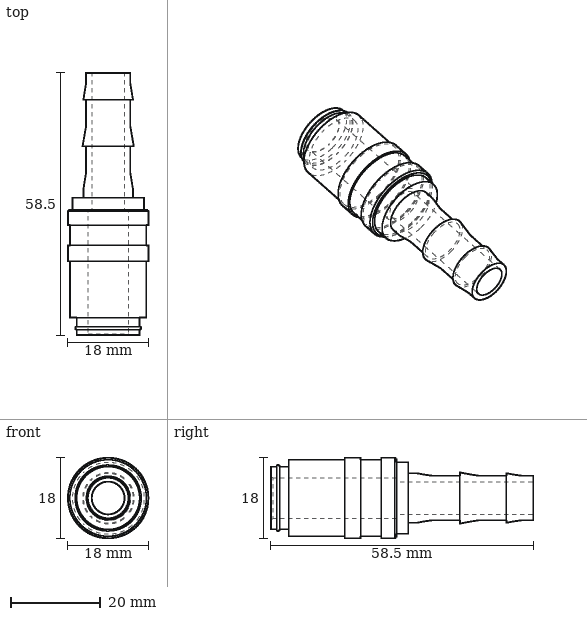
import cadquery as cq

length = 58.5

tail_radius = 5.0
barb_radius = 5.55
middle_barb_radius = 5.75
end_barb_length = 3.55
middle_barb_length = 4.4
neck_start = 30.65
neck_length = 1.9
middle_barb_start = 42.1
outer_barb_start = 52.5

collar_radius = 8.0
body_radius = 8.55
body_start = 3.9
shoulder_y = 28.0
band_radius = 9.0
front_band_start = 16.45
front_band_length = 3.55
rear_band_start = 24.55
rear_band_chamfer = 0.4

nose_radius = 7.0
bead_center_y = 1.6
bead_height = 0.35
bead_half_width = 0.35

bore_radius = 3.6
socket_radius = 4.5
socket_depth = shoulder_y
mouth_chamfer = 0.35


def cylinder(radius, start, end):
    """Solid cylinder on the Y axis between two Y positions."""
    plane = cq.Workplane("XZ", origin=(0, start, 0))
    return plane.circle(radius).extrude(start - end)


def cone(start_radius, end_radius, start, end):
    """Solid cone frustum on the Y axis between two Y positions."""
    profile = [(0, start), (start_radius, start), (end_radius, end), (0, end)]
    return cq.Workplane("XY").polyline(profile).close().revolve(360, (0, 0), (0, 1))


def bead():
    """Rounded ring standing proud of the nose."""
    return (
        cq.Workplane("XY")
        .moveTo(0, bead_center_y - bead_half_width)
        .lineTo(nose_radius, bead_center_y - bead_half_width)
        .threePointArc(
            (nose_radius + bead_height, bead_center_y),
            (nose_radius, bead_center_y + bead_half_width),
        )
        .lineTo(0, bead_center_y + bead_half_width)
        .close()
        .revolve(360, (0, 0), (0, 1))
    )


def coupling_body():
    rear_chamfer_start = shoulder_y - rear_band_chamfer
    body = cylinder(nose_radius, 0, body_start).union(bead())
    body = body.union(cylinder(body_radius, body_start, shoulder_y))
    body = body.union(cylinder(band_radius, front_band_start, front_band_start + front_band_length))
    body = body.union(cylinder(band_radius, rear_band_start, rear_chamfer_start))
    body = body.union(cone(band_radius, band_radius - rear_band_chamfer, rear_chamfer_start, shoulder_y))
    return body.union(cylinder(collar_radius, shoulder_y, neck_start))


def hose_tail():
    neck_end = neck_start + neck_length
    barbs = [
        (barb_radius, neck_end, end_barb_length),
        (middle_barb_radius, middle_barb_start, middle_barb_length),
        (barb_radius, outer_barb_start, end_barb_length),
    ]
    tail = cylinder(tail_radius, neck_start, length)
    tail = tail.union(cylinder(barb_radius, neck_start, neck_end))
    for radius, start, barb_length in barbs:
        tail = tail.union(cone(radius, tail_radius, start, start + barb_length))
    return tail


def stepped_bore():
    bore = cylinder(bore_radius, 0, length)
    bore = bore.union(cylinder(socket_radius, 0, socket_depth))
    return bore.union(cone(socket_radius + mouth_chamfer, socket_radius, 0, mouth_chamfer))


result = coupling_body().union(hose_tail()).cut(stepped_bore())